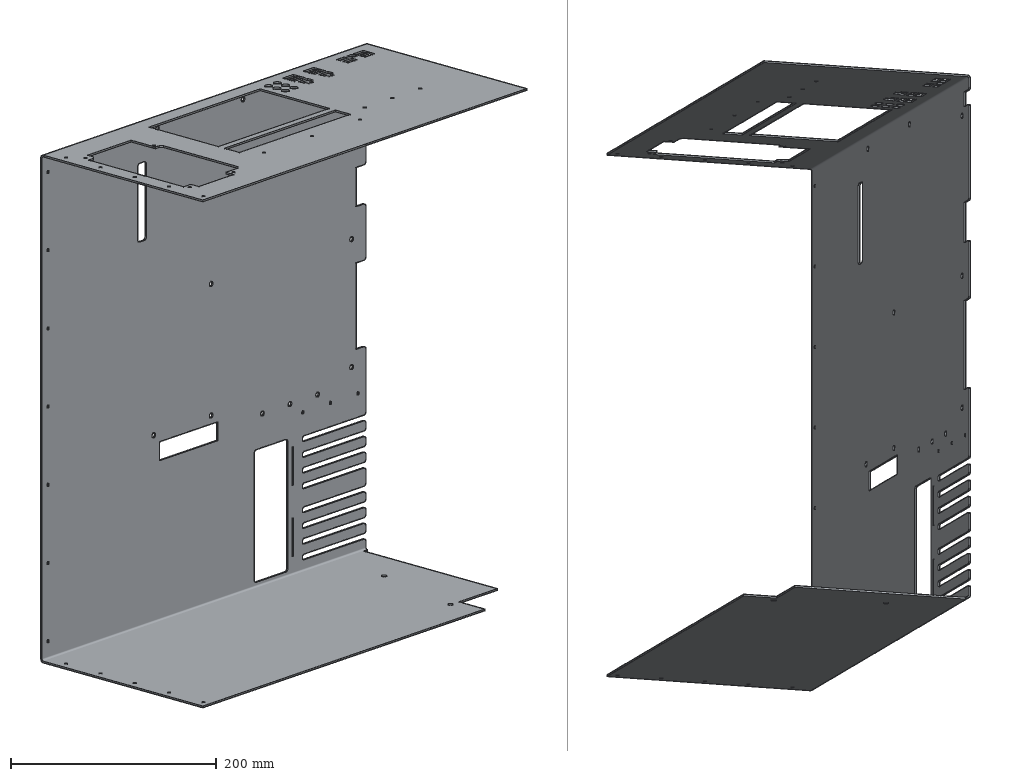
import cadquery as cq


width = 212.5
depth = 470.0
height = 520.0
thickness = 1.8
bend_radius = 2 * thickness
cut_depth = 10.5
overrun = 10.5

drive_hole = 2.55
front_hole = 3.0
small_hole = 3.0
bracket_hole = 3.4
mount_hole = 5.1
jack_hole = 8.0

short_pitch = 40.0

mouth_radius = 3.0
notch_bottom = 456.0
notch_spans = [(210.0, 298.5), (356.0, 396.0), (491.5, 506.0)]

slot_bottom = 378.0
slot_height = 5.5
slot_radius = 2.0
slot_pitch = 16.0
slots_per_group = 4
slot_group_centers = [40.0, 113.0]
slit_y = 364.0
slit_width = 1.5
slit_length = 39.0

wall_openings = [
    (308.0, 356.5, 7.0, 142.5, 3.0),
    (170.5, 255.5, 165.5, 184.5, 1.0),
    (139.0, 151.5, 396.0, 477.0, 3.0),
]

mount_rear_y = 449.5
mount_middle_y = 245.5
mount_low_z = 193.5
mount_high_z = 506.0
mount_points = [
    (mount_rear_y, mount_low_z),
    (mount_rear_y, 324.5),
    (mount_rear_y, 483.5),
    (mount_middle_y, mount_low_z),
    (mount_middle_y, 328.0),
    (162.0, mount_low_z),
    (167.5, mount_high_z),
    (291.5, mount_high_z),
]
card_mount_start = (320.0, 177.5)
card_small_start = (378.5, 164.5)
wall_front_inset = 9.0
wall_front_pitch = 80.0
wall_front_count = 7

flange_front_inset = 9.5
flange_front_first = 25.0
flange_front_last = 205.0
flange_front_count = 5

bottom_setback = 5.0
bottom_notch_x = 179.0
bottom_notch_y = 409.0
bottom_mount_points = [(70.0, 420.5), (178.0, 398.0)]

bay_y_span = (134.0, 295.5)
bay_x_spans = [(21.0, 112.0), (119.5, 139.5)]
drive_start = (157.0, 150.5)
drive_pitch = 69.5
bracket_start = (135.0, 321.0)

port_left = 14.5
port_width = 7.0
port_pitch = 8.5
port_pair_spans = [(335.5, 350.5), (365.0, 380.0), (438.0, 452.0)]
single_ports = [
    (port_left, port_left + port_width, 428.5, 435.0),
    (port_left, 19.0, 413.5, 424.5),
    (port_left + port_pitch, port_left + port_pitch + port_width, 413.5, 426.5),
]
network_left = 33.5
network_bottoms = [337.5, 367.0]
network_length = 13.0
network_tab_reach = 11.5
network_tab_start = 2.0
network_tab_length = 7.0
jack_columns = 3
jack_x_pitch = 11.0
jack_x_first = 21.0
jack_rows = [308.0, 320.5]

psu_left = 35.5
psu_right = 181.5
psu_bottom = 18.0
psu_top = 100.5
psu_low_step = 28.5
psu_left_shoulder = 92.0
psu_right_shoulder = 79.5
psu_step_left = 46.5
psu_step_top_left = 67.0
psu_step_right = 171.0
psu_chamfer = 3.0
psu_screws = [(39.5, 21.5), (176.5, 21.5), (176.5, 85.0), (63.0, 94.5)]


def row(start, pitch, count):
    return [start + i * pitch for i in range(count)]


def u_shape(x_start, shape_height, corner_radius):
    """Block whose two edges at x_start are rounded, centred on the height of the panel."""
    block = cq.Workplane("XY").box(width + overrun, depth, shape_height, centered=(False, False, True))
    return block.edges("|Y and <X").fillet(corner_radius).translate((x_start, 0, height / 2))


def make_sheet():
    """Wall and flanges, open toward +X."""
    outside = u_shape(0, height, bend_radius)
    inside = u_shape(thickness, height - 2 * thickness, bend_radius - thickness)
    bounds = cq.Workplane("XY").box(width, depth, height, centered=False)
    return outside.intersect(bounds).cut(inside)


def wall_window(y_min, y_max, z_min, z_max):
    """Cutter for a rectangular opening in the wall."""
    block = cq.Workplane("XY").box(cut_depth, y_max - y_min, z_max - z_min)
    return block.translate((0, (y_min + y_max) / 2, (z_min + z_max) / 2))


def wall_holes(points, diameter):
    """Cutter for round holes in the wall, at (y, z) points."""
    plane = cq.Workplane("YZ", origin=(-cut_depth / 2, 0, 0))
    return plane.pushPoints(points).circle(diameter / 2).extrude(cut_depth)


def flange_plane(z):
    return cq.Workplane("XY", origin=(0, 0, z - cut_depth / 2))


def flange_window(x_min, x_max, y_min, y_max, z=height):
    """Cutter for a rectangular opening in the flange at height z."""
    center = ((x_min + x_max) / 2, (y_min + y_max) / 2)
    return flange_plane(z).center(*center).rect(x_max - x_min, y_max - y_min).extrude(cut_depth)


def flange_holes(points, diameter, z=height):
    """Cutter for round holes in the flange at height z, at (x, y) points."""
    return flange_plane(z).pushPoints(points).circle(diameter / 2).extrude(cut_depth)


def rear_notch(bottom, z_min, z_max):
    """Cutter open at the rear edge, which rounds off the two corners of its mouth."""
    notch = wall_window(bottom, depth + overrun, z_min, z_max)
    round_y = depth - mouth_radius
    low_z = z_min - mouth_radius
    high_z = z_max + mouth_radius
    flare = wall_window(round_y, depth + overrun, low_z, high_z)
    kept_rounds = wall_holes([(round_y, low_z), (round_y, high_z)], 2 * mouth_radius)
    return notch.union(flare.cut(kept_rounds))


def card_slot(z):
    """Cutter for one card slot centred at z, with its closed end rounded."""
    z_min = z - slot_height / 2
    z_max = z + slot_height / 2
    slot = wall_window(slot_bottom, depth, z_min, z_max).edges("|X and <Y").fillet(slot_radius)
    return slot.union(rear_notch(depth - mouth_radius, z_min, z_max))


def cut_rear_edge(sheet):
    for z_min, z_max in notch_spans:
        sheet = sheet.cut(rear_notch(notch_bottom, z_min, z_max))
    for center in slot_group_centers:
        first = center - slot_pitch * (slots_per_group - 1) / 2
        for z in row(first, slot_pitch, slots_per_group):
            sheet = sheet.cut(card_slot(z))
        slit = cq.Workplane("XY").box(cut_depth, slit_width, slit_length)
        sheet = sheet.cut(slit.translate((0, slit_y, center)))
    return sheet


def cut_wall(sheet):
    for y_min, y_max, z_min, z_max, radius in wall_openings:
        opening = wall_window(y_min, y_max, z_min, z_max).edges("|X").fillet(radius)
        sheet = sheet.cut(opening)
    mount_y, mount_z = card_mount_start
    small_y, small_z = card_small_start
    card_mounts = [(y, mount_z) for y in row(mount_y, short_pitch, 3)]
    card_smalls = [(y, small_z) for y in row(small_y, short_pitch, 3)]
    front_first = (height - wall_front_pitch * (wall_front_count - 1)) / 2
    front_points = [(wall_front_inset, z) for z in row(front_first, wall_front_pitch, wall_front_count)]
    sheet = sheet.cut(wall_holes(mount_points + card_mounts, mount_hole))
    sheet = sheet.cut(wall_holes(card_smalls, small_hole))
    return sheet.cut(wall_holes(front_points, front_hole))


def cut_flange_holes(sheet):
    """Front rows of both flanges, the bottom mounts and the rows beside the bays."""
    pitch = (flange_front_last - flange_front_first) / (flange_front_count - 1)
    front_points = [(x, flange_front_inset) for x in row(flange_front_first, pitch, flange_front_count)]
    for z in (0, height):
        sheet = sheet.cut(flange_holes(front_points, front_hole, z))
    sheet = sheet.cut(flange_holes(bottom_mount_points, mount_hole, 0))
    drive_x, drive_y = drive_start
    bracket_x, bracket_y = bracket_start
    drive_points = [(drive_x, y) for y in row(drive_y, drive_pitch, 3)]
    bracket_points = [(bracket_x, y) for y in row(bracket_y, short_pitch, 3)]
    sheet = sheet.cut(flange_holes(drive_points, drive_hole))
    return sheet.cut(flange_holes(bracket_points, bracket_hole))


def cut_bottom_rear(sheet):
    """Set back the rear edge of the bottom flange, from the bend on, and notch its free corner."""
    free_x = width + overrun
    rear_y = depth + overrun
    sheet = sheet.cut(flange_window(bend_radius, free_x, depth - bottom_setback, rear_y, 0))
    return sheet.cut(flange_window(bottom_notch_x, free_x, bottom_notch_y, rear_y, 0))


def cut_connectors(sheet):
    """Paired and single ports, network sockets with a latch tab, and round audio jacks."""
    for y_min, y_max in port_pair_spans:
        for x in row(port_left, port_pitch, 2):
            sheet = sheet.cut(flange_window(x, x + port_width, y_min, y_max))
    for port in single_ports:
        sheet = sheet.cut(flange_window(*port))
    for y in network_bottoms:
        tab_y = y + network_tab_start
        body = flange_window(network_left, network_left + port_width, y, y + network_length)
        tab_right = network_left + network_tab_reach
        tab = flange_window(network_left, tab_right, tab_y, tab_y + network_tab_length)
        sheet = sheet.cut(body.union(tab))
    jacks = [(x, y) for x in row(jack_x_first, jack_x_pitch, jack_columns) for y in jack_rows]
    return sheet.cut(flange_holes(jacks, jack_hole))


def cut_power_supply(sheet):
    outline = [
        (psu_left, psu_left_shoulder),
        (psu_step_top_left, psu_left_shoulder),
        (psu_step_top_left, psu_top - psu_chamfer),
        (psu_step_top_left + psu_chamfer, psu_top),
        (psu_step_right - psu_chamfer, psu_top),
        (psu_step_right, psu_top - psu_chamfer),
        (psu_step_right, psu_right_shoulder),
        (psu_right, psu_right_shoulder),
        (psu_right, psu_low_step),
        (psu_step_right, psu_low_step),
        (psu_step_right, psu_bottom),
        (psu_step_left, psu_bottom),
        (psu_step_left, psu_low_step - psu_chamfer),
        (psu_step_left - psu_chamfer, psu_low_step),
        (psu_left, psu_low_step),
    ]
    opening = flange_plane(height).polyline(outline).close().extrude(cut_depth)
    return sheet.cut(opening).cut(flange_holes(psu_screws, small_hole))


result = make_sheet()
result = cut_rear_edge(result)
result = cut_wall(result)
result = cut_flange_holes(result)
result = cut_bottom_rear(result)
for x_span in bay_x_spans:
    result = result.cut(flange_window(*x_span, *bay_y_span))
result = cut_connectors(result)
result = cut_power_supply(result)
result = cq.Workplane(result.solids().val())